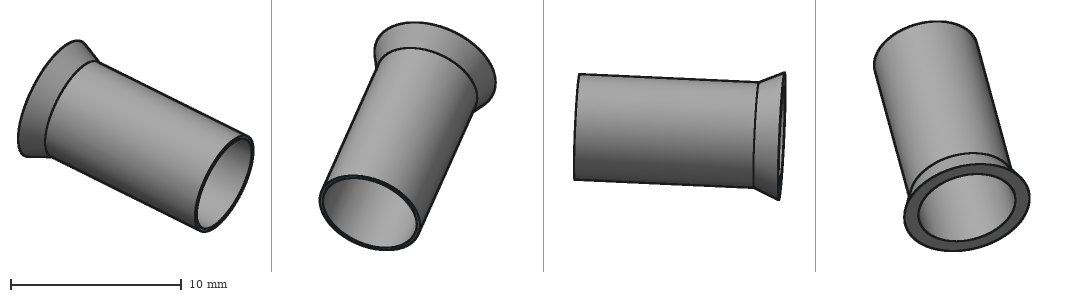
import cadquery as cq

length = 12.0
flare_length = 1.48
flare_diameter = 7.5
tube_diameter = 6.2
bore_diameter = 5.8

flare_radius = flare_diameter / 2
tube_radius = tube_diameter / 2
bore_radius = bore_diameter / 2

wall_section = (
    cq.Workplane("XY")
    .moveTo(0, bore_radius)
    .lineTo(0, flare_radius)
    .lineTo(flare_length, tube_radius)
    .lineTo(length, tube_radius)
    .lineTo(length, bore_radius)
    .close()
)

result = wall_section.revolve(360, (0, 0, 0), (1, 0, 0))